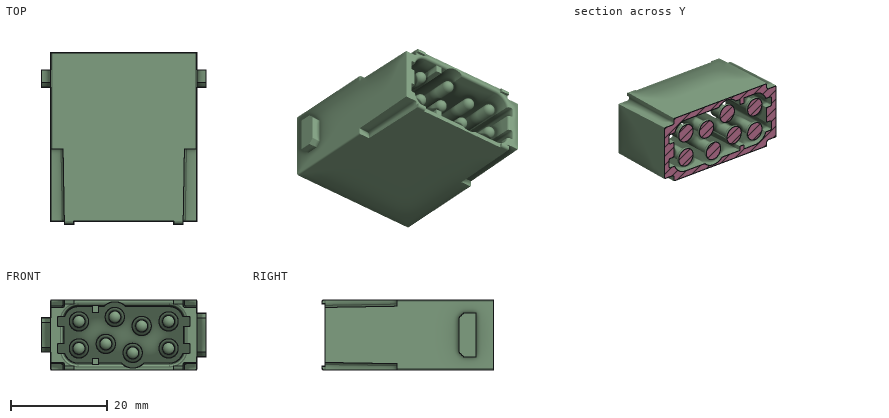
import cadquery as cq
import math


overall_width = 34.2
body_width = 30.3
body_depth = 35.0
body_height = 14.6
long_edge_radius = 0.3

notch_length = 15.0
notch_width = 2.83
notch_height = 1.6
notch_corner_radius = 0.43
draft_angle = 1.0

cavity_width = 25.3
cavity_height = 12.25
cavity_depth = 15.0
cavity_corner_radius = 3.2
mouth_radius = 0.5

pocket_reach = 13.75
pocket_inner_z = 1.75
pocket_outer_z = 3.83
pocket_corner_radius = 0.3

contact_pitch = 1.86
corner_contact_x = 5 * contact_pitch
corner_contact_z = 2.8
contact_radius = 1.25
contact_tip_y = 1.2
contact_base_radius = 2.0
contact_base_height = 1.0
contact_base_rounding = 0.55
clearance_radius = 3.15

key_center_x = -5.85
key_width = 1.3
upper_key_inner_z = 4.66
lower_key_inner_z = -4.92

lip_width = 1.95
lip_projection = 0.6
lip_thickness = 0.85
lip_radius = 0.45

lug_projection = (overall_width - body_width) / 2
lug_setback = 3.6
lug_length = 3.6
lug_back_y = body_depth - lug_setback
lug_front_y = lug_back_y - lug_length
lug_chamfer = 1.0
left_lug_height = 7.15
right_lug_height = 9.1

side_x = body_width / 2
top_z = body_height / 2

upper_contact = (-contact_pitch, 2 * contact_pitch)
lower_contact = (contact_pitch, -2 * contact_pitch)
contact_places = [
    upper_contact,
    lower_contact,
    (2 * contact_pitch, contact_pitch),
    (-2 * contact_pitch, -contact_pitch),
]
for sx in (-1, 1):
    for sz in (-1, 1):
        contact_places.append((sx * corner_contact_x, sz * corner_contact_z))


def box(x_range, y_range, z_range):
    """Axis-aligned block between pairs of limits, given in any order."""
    low = [min(limits) for limits in (x_range, y_range, z_range)]
    size = [abs(limits[1] - limits[0]) for limits in (x_range, y_range, z_range)]
    return cq.Workplane("XY").box(*size, centered=False).translate(tuple(low))


def point_on_arc(center, radius):
    """Middle of the quarter circle that faces outward and toward the mating face."""
    offset = radius * math.sqrt(0.5)
    return (center[0] + offset, center[1] - offset)


def facing_back(y, x=0, z=0):
    """Workplane parallel to XZ whose normal points along +Y and whose local x is +X."""
    return cq.Workplane(cq.Plane(origin=(x, y, z), xDir=(1, 0, 0), normal=(0, 1, 0)))


def make_housing():
    block = box((-side_x, side_x), (0, body_depth), (-top_z, top_z))
    return block.edges("|Y").fillet(long_edge_radius)


def make_notch(sx, sz):
    """Drafted corner relief, with a rounded inner corner."""
    return (
        facing_back(0, sx * side_x, sz * top_z)
        .rect(2 * notch_width, 2 * notch_height)
        .extrude(notch_length, taper=draft_angle)
        .edges("not(|X or |Z)")
        .fillet(notch_corner_radius)
    )


def cut_cavity(housing):
    """Drafted rounded pocket with a rounded mouth, end pockets and contact clearances."""
    profile = cq.Sketch().rect(cavity_width, cavity_height).vertices().fillet(cavity_corner_radius)
    cavity = facing_back(0).placeSketch(profile).extrude(cavity_depth, taper=draft_angle)
    housing = housing.cut(cavity)
    mouth = cq.selectors.BoxSelector(
        (-cavity_width / 2 - mouth_radius, -mouth_radius, -cavity_height / 2 - mouth_radius),
        (cavity_width / 2 + mouth_radius, mouth_radius, cavity_height / 2 + mouth_radius),
        boundingbox=True,
    )
    housing = housing.edges(mouth).fillet(mouth_radius)
    for sx in (-1, 1):
        for sz in (-1, 1):
            pocket = box(
                (sx * corner_contact_x, sx * pocket_reach),
                (0, cavity_depth),
                (sz * pocket_inner_z, sz * pocket_outer_z),
            )
            end_wall = ">X" if sx > 0 else "<X"
            pocket = pocket.faces(end_wall).edges("|Y").fillet(pocket_corner_radius)
            housing = housing.cut(pocket)
    for x, z in (upper_contact, lower_contact):
        clearance = facing_back(0, x, z).circle(clearance_radius).extrude(cavity_depth)
        housing = housing.cut(clearance)
    return housing


def make_key(inner_z):
    """Straight rib standing on the cavity wall that lies on the same side as inner_z."""
    half_width = key_width / 2
    root_z = math.copysign(cavity_height / 2 + mouth_radius / 2, inner_z)
    return box(
        (key_center_x - half_width, key_center_x + half_width),
        (mouth_radius, cavity_depth),
        (inner_z, root_z),
    )


def make_contact(x, z):
    """Round pin with a hemispherical tip, standing on a rounded base on the cavity floor."""
    tip_center_y = contact_tip_y + contact_radius
    base_front_y = cavity_depth - contact_base_height
    root_y = cavity_depth + contact_base_height
    rounding_center = (contact_base_radius - contact_base_rounding, base_front_y + contact_base_rounding)
    half_section = (
        cq.Workplane("XY", origin=(x, 0, z))
        .moveTo(0, contact_tip_y)
        .threePointArc(point_on_arc((0, tip_center_y), contact_radius), (contact_radius, tip_center_y))
        .lineTo(contact_radius, base_front_y)
        .lineTo(rounding_center[0], base_front_y)
        .threePointArc(
            point_on_arc(rounding_center, contact_base_rounding),
            (contact_base_radius, rounding_center[1]),
        )
        .lineTo(contact_base_radius, root_y)
        .lineTo(0, root_y)
        .close()
    )
    return half_section.revolve(360, (0, 0), (0, 1))


def make_lip(sx, sz):
    """Small hook on the mating face, flush with the outer wall and rounded outside."""
    outer_x = side_x - notch_width
    lip = box(
        (sx * outer_x, sx * (outer_x - lip_width)),
        (-lip_projection, mouth_radius),
        (sz * top_z, sz * (top_z - lip_thickness)),
    )
    outer_face = ">Z" if sz > 0 else "<Z"
    return lip.faces("<Y").edges(outer_face).fillet(lip_radius)


def make_lug(sx, height):
    lug = box(
        (sx * (side_x - lug_projection), sx * (side_x + lug_projection)),
        (lug_front_y, lug_back_y),
        (-height / 2, height / 2),
    )
    return lug.faces("<Y").edges("|X").chamfer(lug_chamfer)


part = cut_cavity(make_housing())
for sx in (-1, 1):
    for sz in (-1, 1):
        part = part.cut(make_notch(sx, sz))
for inner_z in (upper_key_inner_z, lower_key_inner_z):
    part = part.union(make_key(inner_z))
for x, z in contact_places:
    part = part.union(make_contact(x, z))
for sx in (-1, 1):
    for sz in (-1, 1):
        part = part.union(make_lip(sx, sz))
part = part.union(make_lug(-1, left_lug_height))
part = part.union(make_lug(1, right_lug_height))

result = part